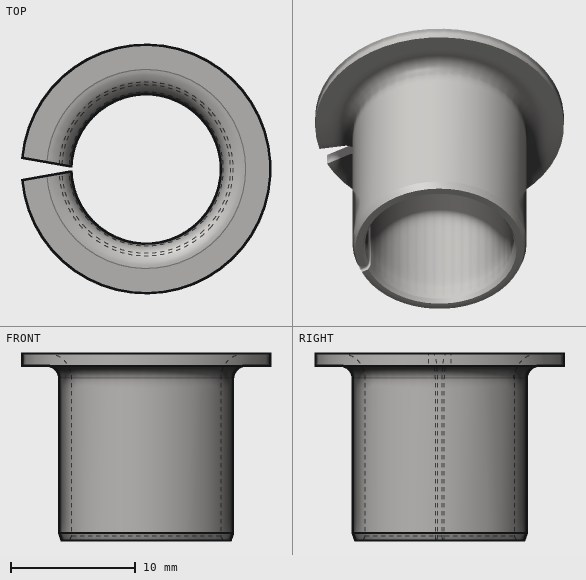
import cadquery as cq
import math

flange_radius = 9.96
wall = 1.0
bore_radius = 5.98
height = 15.0
outer_bend_radius = 1.0
chamfer_height = 0.6
bore_chamfer_height = 0.35
bore_chamfer_width = 0.2
chamfer_angle = 20.0
slit_half_angle = 10.0
slit_apex_radius = 4.92

body_radius = bore_radius + wall
inner_bend_radius = outer_bend_radius + wall
bend_center_radius = body_radius + outer_bend_radius
flange_bottom = height - wall
bend_start = flange_bottom - outer_bend_radius
chamfer_width = chamfer_height * math.tan(math.radians(chamfer_angle))


def bend_middle(radius):
    """Midpoint of a quarter bend, as (distance from axis, height)."""
    offset = radius * math.sqrt(0.5)
    return (bend_center_radius - offset, bend_start + offset)


def make_bushing():
    """Revolve the wall section: sleeve, concentric bend and flange."""
    section = (
        cq.Workplane("XZ")
        .moveTo(bore_radius, bore_chamfer_height)
        .lineTo(bore_radius + bore_chamfer_width, 0)
        .lineTo(body_radius - chamfer_width, 0)
        .lineTo(body_radius, chamfer_height)
        .lineTo(body_radius, bend_start)
        .threePointArc(bend_middle(outer_bend_radius), (bend_center_radius, flange_bottom))
        .lineTo(flange_radius, flange_bottom)
        .lineTo(flange_radius, height)
        .lineTo(bend_center_radius, height)
        .threePointArc(bend_middle(inner_bend_radius), (bore_radius, bend_start))
        .close()
    )
    return section.revolve(360, (0, 0, 0), (0, 1, 0))


def make_slit():
    """Full-height wedge that widens outward past the flange rim."""
    outer_x = flange_radius + wall
    half_width = (outer_x - slit_apex_radius) * math.tan(math.radians(slit_half_angle))
    return (
        cq.Workplane("XY")
        .moveTo(-slit_apex_radius, 0)
        .lineTo(-outer_x, half_width)
        .lineTo(-outer_x, -half_width)
        .close()
        .extrude(height)
    )


result = make_bushing().rotate((0, 0, 0), (0, 0, 1), 180).cut(make_slit())